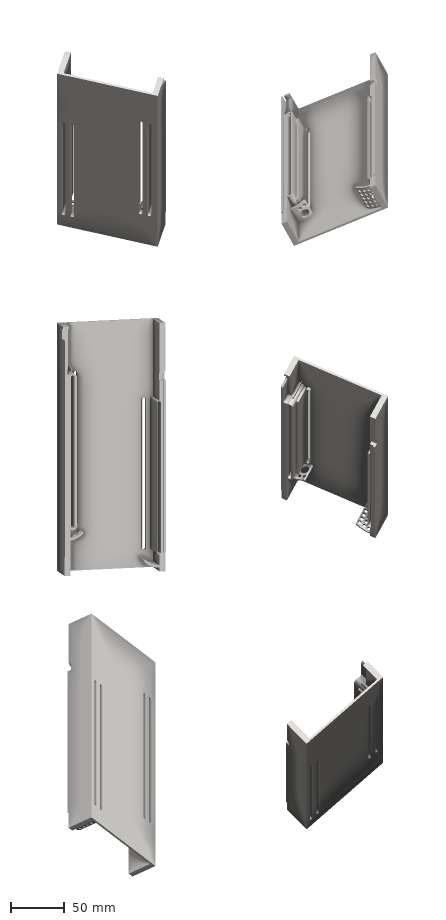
import cadquery as cq
import math

width = 97.0
depth = 28.2
length = 235.0
floor_thickness = 2.0
wall_thickness = 5.6
half_width = width / 2
wall_inner_x = half_width - wall_thickness

lip_thickness = 1.9
wall_depth = 27.0
lip_bottom = 18.0

left_notch_bottom = 181.0
left_notch_top = 187.7
left_notch_y = 24.0
left_notch_flare = 1.9

right_notch_bottom = 220.9
right_notch_top = 232.1
right_notch_y = 17.5
right_tip_depth = 21.4
right_lip_rise = 2.0
right_recess_bottom = 190.3

slot_width = 3.5
slot_length = 144.5
slot_spacing = 8.5
left_slot_x = -half_width + 6.0
right_slot_x = half_width - 8.0
left_slot_bottom = 16.7
right_slot_bottom = 44.9

thin_rim = 0.5
thick_rim = 1.9
low_rim_depth = 5.2

rib_width = 2.0
rib_depth = 19.5
fin_width = 0.7
fin_depth = 20.5
fin_height = 4.7
fin_offset = 0.7

baffle_radius = 18.3
baffle_thickness = 2.0
baffle_angle = 48.0
baffle_centre_rise = 7.5
left_baffle_depth = 26.8
right_baffle_depth = 19.5
vent_diameter = 3.3
vent_row_pitch = 4.5
vent_column_pitch = 4.7
vent_rows = 5
vent_columns = 3
first_vent_y = 5.5
left_vent_x = -half_width + 8.5
right_vent_x = half_width - 18.0
right_vent_y = 15.7
cable_hole_diameter = 7.8
cable_hole_x = half_width - 15.5
cable_hole_y = 8.5


def box(x0, x1, y0, y1, z0, z1):
    """Box given by its limits along each axis."""
    return cq.Workplane("XY").box(x1 - x0, y1 - y0, z1 - z0, centered=False).translate((x0, y0, z0))


def prism(points, y0, y1):
    """Extrude an XZ outline from y0 to y1."""
    return cq.Workplane("XZ", origin=(0, y0, 0)).polyline(points).close().extrude(y0 - y1)


def stadium(x, bottom, margin, y0, y1):
    """Slot-shaped solid around a vent slot, grown outward by margin."""
    centre_z = bottom + slot_length / 2
    outline = cq.Workplane("XZ", origin=(x, y0, centre_z))
    return outline.slot2D(slot_length + 2 * margin, slot_width + 2 * margin, 90).extrude(y0 - y1)


def cross_hole(x, y, diameter):
    """Cutter running the full length along Z."""
    return cq.Workplane("XY", origin=(x, y, 0)).circle(diameter / 2).extrude(length)


def channel():
    """Floor, two side walls and their outer lips."""
    body = box(-half_width, half_width, 0, floor_thickness, 0, length)
    body = body.union(box(-half_width, -wall_inner_x, 0, wall_depth, 0, length))
    body = body.union(box(wall_inner_x, half_width, 0, wall_depth, 0, length))
    lip_inner_x = half_width - lip_thickness
    body = body.union(box(-half_width, -lip_inner_x, 0, depth, lip_bottom, left_notch_bottom))
    return body.union(box(lip_inner_x, half_width, 0, depth, lip_bottom, length))


def left_notch():
    """Notch through the left wall whose upper face flares toward the outside."""
    outline = [
        (-half_width, left_notch_bottom),
        (-wall_inner_x, left_notch_bottom),
        (-wall_inner_x, left_notch_top),
        (-half_width + left_notch_flare, left_notch_top),
        (-half_width, left_notch_top + left_notch_flare),
    ]
    return prism(outline, left_notch_y, depth)


def right_notch():
    """Recess behind the right lip, opening into an undercut below the shortened wall tip."""
    outline = [
        (wall_inner_x, right_recess_bottom),
        (half_width - lip_thickness, right_recess_bottom),
        (half_width - lip_thickness, right_notch_bottom),
        (half_width, right_notch_bottom + right_lip_rise),
        (half_width, right_notch_top),
        (wall_inner_x, right_notch_top),
    ]
    undercut = prism(outline, right_notch_y, depth)
    return undercut.union(box(wall_inner_x, half_width, right_tip_depth, depth, right_notch_top, length))


def baffle(side, slot_bottom, baffle_depth):
    """Arc rising from a side wall toward the middle; side is -1 for left, 1 for right."""
    centre_x = side * wall_inner_x
    centre_z = slot_bottom + baffle_centre_rise
    outer_radius = baffle_radius + baffle_thickness

    def arc_point(radius, angle):
        turn = math.radians(angle)
        return (centre_x - side * radius * math.sin(turn), centre_z - radius * math.cos(turn))

    outline = (
        cq.Workplane("XZ")
        .moveTo(*arc_point(baffle_radius, 0))
        .threePointArc(arc_point(baffle_radius, baffle_angle / 2), arc_point(baffle_radius, baffle_angle))
        .lineTo(*arc_point(outer_radius, baffle_angle))
        .threePointArc(arc_point(outer_radius, baffle_angle / 2), arc_point(outer_radius, 0))
        .close()
    )
    return outline.extrude(-baffle_depth)


def left_baffle():
    """Left baffle with a regular grid of vent holes."""
    body = baffle(-1, left_slot_bottom, left_baffle_depth)
    for column in range(vent_columns):
        for row in range(vent_rows):
            x = left_vent_x + column * vent_column_pitch
            y = first_vent_y + row * vent_row_pitch
            body = body.cut(cross_hole(x, y, vent_diameter))
    return body


def right_baffle():
    """Right baffle with one large hole below two vent holes."""
    body = baffle(1, right_slot_bottom, right_baffle_depth)
    body = body.cut(cross_hole(cable_hole_x, cable_hole_y, cable_hole_diameter))
    for x in (right_vent_x, right_vent_x + vent_column_pitch):
        body = body.cut(cross_hole(x, right_vent_y, vent_diameter))
    return body


def rib_and_fin():
    """Rib along the outer right rim and a thin fin standing on its upper end."""
    slot_top = right_slot_bottom + slot_length
    rim_edge = right_slot_x - slot_width / 2 - thick_rim
    rib_top = slot_top - slot_width / 2
    rib = box(rim_edge - rib_width, rim_edge + thick_rim, 0, rib_depth, right_slot_bottom, rib_top)
    fin_x = right_slot_x - fin_offset - fin_width / 2
    fin_bottom = slot_top + thick_rim / 2
    return rib.union(box(fin_x, fin_x + fin_width, 0, fin_depth, fin_bottom, fin_bottom + fin_height))


slots = [
    (left_slot_x, left_slot_bottom, thin_rim, wall_depth),
    (left_slot_x + slot_spacing, left_slot_bottom, thin_rim, low_rim_depth),
    (right_slot_x - slot_spacing, right_slot_bottom, thin_rim, low_rim_depth),
    (right_slot_x, right_slot_bottom, thick_rim, wall_depth),
]

result = channel().cut(left_notch()).cut(right_notch())
result = result.union(left_baffle()).union(right_baffle()).union(rib_and_fin())
for x, bottom, rim, rim_depth in slots:
    result = result.union(stadium(x, bottom, rim, 0, rim_depth))
for x, bottom, _, _ in slots:
    result = result.cut(stadium(x, bottom, 0, 0, depth))